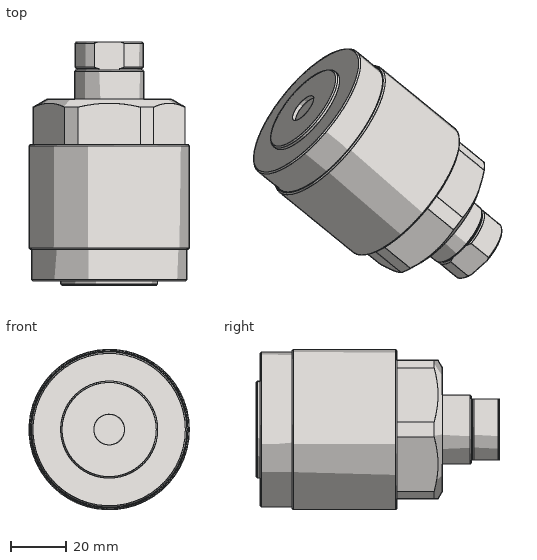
import cadquery as cq
import math

total_length = 88.0
front_y = -total_length / 2
back_y = total_length / 2
edge_chamfer = 0.5

spigot_diameter = 24.6
spigot_across_flats = 22.2
spigot_length = 10.1
spigot_neck_diameter = 23.4
spigot_neck_length = 0.4
collar_diameter = 25.1
collar_length = 10.6
hex_across_flats = 50.2
hex_corner_diameter = 55.0
hex_end_diameter = 44.9
hex_chamfer_angle = 30.0
hex_length = 16.4

sleeve_diameter = 58.0
sleeve_length = 38.0
band_diameter = 56.1
band_length = 11.4
disc_diameter = 35.1
recess_diameter = 11.1
recess_depth = 1.5

collar_back_y = back_y - spigot_length
hex_back_y = collar_back_y - collar_length
sleeve_back_y = hex_back_y - hex_length
band_back_y = sleeve_back_y - sleeve_length
disc_back_y = band_back_y - band_length
disc_length = disc_back_y - front_y


def cylinder(diameter, start_y, length):
    """Solid cylinder around the Y axis, running from start_y toward +Y."""
    plane = cq.Workplane("XZ", origin=(0, start_y, 0))
    return plane.circle(diameter / 2).extrude(-length)


def make_spigot():
    """Round spigot with a short neck and flats on its +Z and -Z sides."""
    head_start_y = collar_back_y + spigot_neck_length
    neck = cylinder(spigot_neck_diameter, collar_back_y, spigot_neck_length)
    head = cylinder(spigot_diameter, head_start_y, spigot_length - spigot_neck_length)
    head = head.faces("<Y or >Y").chamfer(edge_chamfer)
    flats = cq.Workplane("XY").box(spigot_diameter, total_length * 2, spigot_across_flats)
    return neck.union(head).intersect(flats)


def make_wrench_hexagon():
    """Hexagon with flats facing +Z and -Z, rounded corners and a conical back edge."""
    corner_to_corner = hex_across_flats / math.cos(math.radians(30))
    prism = cq.Workplane("XZ", origin=(0, sleeve_back_y, 0)).polygon(6, corner_to_corner)
    prism = prism.extrude(-hex_length)
    corner_radius = hex_corner_diameter / 2
    end_radius = hex_end_diameter / 2
    cone_length = (corner_radius - end_radius) * math.tan(math.radians(hex_chamfer_angle))
    envelope = (
        cq.Workplane("XY")
        .moveTo(0, sleeve_back_y)
        .lineTo(corner_radius, sleeve_back_y)
        .lineTo(corner_radius, hex_back_y - cone_length)
        .lineTo(end_radius, hex_back_y)
        .lineTo(0, hex_back_y)
        .close()
        .revolve(360, (0, 0, 0), (0, 1, 0))
    )
    return prism.intersect(envelope)


def make_fitting():
    collar = cylinder(collar_diameter, hex_back_y, collar_length)
    collar = collar.faces(">Y").chamfer(edge_chamfer)
    return make_wrench_hexagon().union(collar).union(make_spigot())


def make_housing():
    sleeve = cylinder(sleeve_diameter, band_back_y, sleeve_length)
    sleeve = sleeve.faces("<Y or >Y").chamfer(edge_chamfer)
    band = cylinder(band_diameter, disc_back_y, band_length)
    band = band.faces("<Y").chamfer(edge_chamfer)
    disc = cylinder(disc_diameter, front_y, disc_length)
    disc = disc.faces("<Y").chamfer(edge_chamfer)
    recess = cylinder(recess_diameter, front_y, recess_depth)
    return sleeve.union(band).union(disc).cut(recess)


fitting = make_fitting()
housing = make_housing()

result = cq.Compound.makeCompound([fitting.val(), housing.val()])